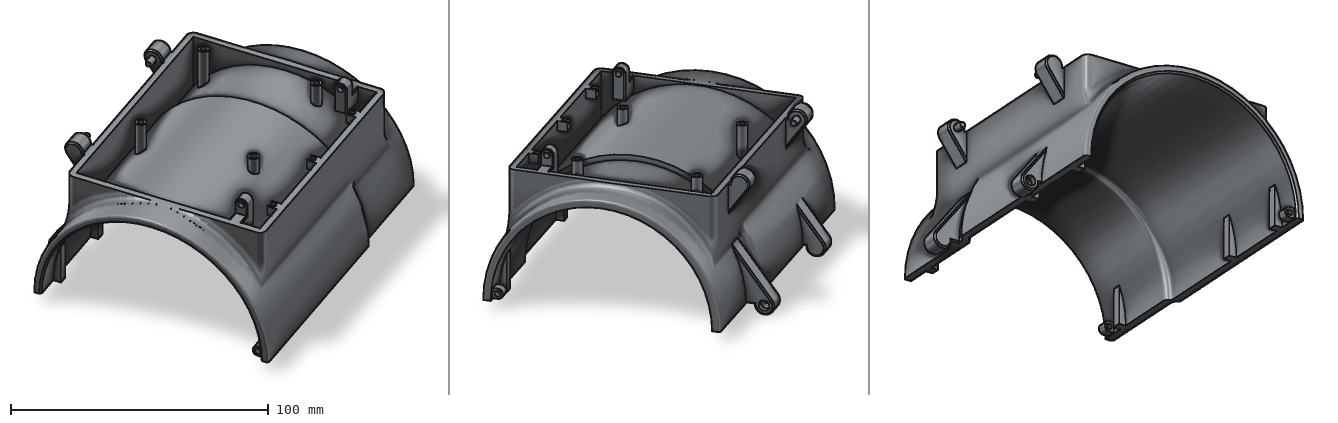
import cadquery as cq
import math

length = 130.0
front_radius = 51.2
rear_radius = 48.9
tube_wall = 3.4
step_y = 87.6
step_length = 3.9
rim_round = 1.0
bore_chamfer = 0.8

box_inner_x = 80.0
box_inner_y = 100.0
box_wall = 2.9
box_corner_radius = 2.9
box_bottom = 13.0
blank_top = 78.0
box_top = 51.4
box_blend = 3.9
crown_steps = 6
floor_drop = 0.3
floor_step_y = 88.3

mid_y = length / 2
inner_wall_x = box_inner_x / 2
outer_wall_x = inner_wall_x + box_wall
box_outer_y = box_inner_y + 2 * box_wall
front_wall_y = mid_y - box_outer_y / 2
inner_front_y = mid_y - box_inner_y / 2
inner_rear_y = mid_y + box_inner_y / 2

lug_radius = 4.0
lug_width = 8.0
lug_edge = 0.6
lug_root_depth = 6.5

rim_lug_x = -47.5
rim_lug_angle = 54.0
rim_lug_offset = 33.9
pin_diameter = 3.1
pin_tip_diameter = 2.3
pin_straight = 2.6
pin_length = 3.9

base_lug_x = -56.3
base_lug_angle = 52.3
base_lug_offset = 30.4
bearing_diameter = 4.4
bearing_end_diameter = 1.3

post_diameter = 4.4
post_hole_diameter = 2.5
post_hole_depth = 6.5
post_top = box_top + 3.0
post_xs = (-31.1, 18.1)
post_ys = (52.5, 106.2)

latch_x = 29.2
latch_width = 5.5
latch_reach = 10.3
latch_bottom = 44.5
latch_top = 58.5
latch_hole_diameter = 2.5
latch_edge = 0.5

clip_size = 4.0
clip_spacing = 33.8
clip_notch_width = 2.1
clip_notch_length = 2.6
clip_notch_depth = 1.3

rib_width = 3.9
front_rib_x = 44.5
rear_rib_x = 42.4
front_rib_ys = (12.4, 44.2)
rear_rib_ys = (117.6,)
boss_diameter = 4.4
boss_hole_diameter = 2.5
boss_z = 2.6
boss_length = 4.0
boss_end_gap = 2.0


def half_tube(front_r, rear_r):
    """Solid upper half of the stepped tube, with an S-shaped step between the two radii."""
    step_front = step_y - step_length / 2
    step_rear = step_y + step_length / 2
    mid_r = (front_r + rear_r) / 2
    return (
        cq.Workplane("XY")
        .lineTo(front_r, 0)
        .lineTo(front_r, step_front)
        .tangentArcPoint((mid_r, step_y), relative=False)
        .tangentArcPoint((rear_r, step_rear), relative=False)
        .lineTo(rear_r, length)
        .lineTo(0, length)
        .close()
        .revolve(180, (0, 0, 0), (0, -1, 0))
    )


def half_cylinder(radius, start_y, end_y):
    """Solid upper half of a cylinder along Y."""
    return (
        cq.Workplane("XZ", origin=(0, start_y, 0))
        .moveTo(radius, 0)
        .threePointArc((0, radius), (-radius, 0))
        .close()
        .extrude(start_y - end_y)
    )


def block(x_range, y_range, z_range):
    """Axis-aligned block between the given limits."""
    size = [end - start for start, end in (x_range, y_range, z_range)]
    corner = (x_range[0], y_range[0], z_range[0])
    return cq.Workplane("XY").box(*size, centered=False).translate(corner)


def y_cylinder(diameter, x, z, start_y, end_y):
    """Cylinder along Y between two places."""
    return (
        cq.Workplane("XZ", origin=(x, start_y, z))
        .circle(diameter / 2)
        .extrude(start_y - end_y)
    )


def tapered_pin(diameter, tip_diameter):
    """Pin growing from the origin along +Y: a straight part, then a cone."""
    return (
        cq.Workplane("XY")
        .lineTo(diameter / 2, 0)
        .lineTo(diameter / 2, pin_straight)
        .lineTo(tip_diameter / 2, pin_length)
        .lineTo(0, pin_length)
        .close()
        .revolve(360, (0, 0, 0), (0, 1, 0))
    )


def is_vertical(edge):
    """True for an edge parallel to Z."""
    return abs(edge.tangentAt(0.5).z) > 0.99


def on_box_wall(point):
    """True for a point on the outside of the box walls."""
    side_gap = abs(point.x) - outer_wall_x
    end_gap = abs(point.y - mid_y) - box_outer_y / 2
    return abs(max(side_gap, end_gap)) < 0.01


def is_seam(edge):
    """True for an edge where a box wall runs into the tube."""
    middle = edge.positionAt(0.5)
    in_height = box_bottom < middle.z < box_top
    return on_box_wall(middle) and in_height and not is_vertical(edge)


def is_box_corner(edge):
    """True for a vertical outer edge of the box."""
    middle = edge.positionAt(0.5)
    at_side = abs(abs(middle.x) - outer_wall_x) < 0.01
    return at_side and is_vertical(edge) and on_box_wall(middle) and middle.z > box_bottom


def radial_point(radius, angle, y):
    """Point at a distance from the tube axis, turned by an angle from the top."""
    return cq.Vector(radius * math.sin(angle), y, radius * math.cos(angle))


def crown_section(angle):
    """Radial section of the blend where the front wall is lower than the blend radius."""
    rim_radius = box_top / math.cos(angle)
    wall_height = rim_radius - front_radius
    reach = math.sqrt(box_blend ** 2 - (box_blend - wall_height) ** 2)
    foot_y = front_wall_y - reach
    half_turn = math.asin(reach / box_blend) / 2
    arc_middle = radial_point(
        front_radius + box_blend * (1 - math.cos(half_turn)),
        angle,
        foot_y + box_blend * math.sin(half_turn),
    )
    root_radius = front_radius - tube_wall / 2
    root_y = front_wall_y + box_wall / 2
    rim = radial_point(rim_radius, angle, front_wall_y)
    foot = radial_point(front_radius, angle, foot_y)
    outline = [
        foot,
        radial_point(root_radius, angle, foot_y),
        radial_point(root_radius, angle, root_y),
        radial_point(rim_radius, angle, root_y),
        rim,
    ]
    edges = [cq.Edge.makeLine(start, end) for start, end in zip(outline, outline[1:])]
    edges.append(cq.Edge.makeThreePointArc(rim, arc_middle, foot))
    return cq.Wire.assembleEdges(edges)


tube = half_tube(front_radius, rear_radius)
box = (
    cq.Workplane("XY", origin=(0, mid_y, box_bottom))
    .rect(2 * outer_wall_x, box_outer_y)
    .extrude(blank_top - box_bottom)
)
body = tube.union(box)
seams = [edge for edge in body.edges().vals() if is_seam(edge)]
body = body.newObject(seams).fillet(box_blend)
corners = [edge for edge in body.edges().vals() if is_box_corner(edge)]
body = body.newObject(corners).fillet(box_corner_radius)
body = body.cut(block((-front_radius, front_radius), (0, length), (box_top, blank_top)))
body = body.faces("<Y or >Y").edges("%CIRCLE").fillet(rim_round)

crown_angle = math.acos(box_top / (front_radius + box_blend))
wedge_x = blank_top * math.tan(crown_angle)
wedge = (
    cq.Workplane("XZ")
    .lineTo(wedge_x, blank_top)
    .lineTo(-wedge_x, blank_top)
    .close()
    .extrude(-front_wall_y)
)
body = body.cut(wedge.cut(half_cylinder(front_radius, 0, length)))
crown_sections = [
    crown_section(crown_angle * step / crown_steps) for step in range(-crown_steps, crown_steps + 1)
]
crown = cq.Workplane("XY").add(cq.Solid.makeLoft(crown_sections, True))
body = body.union(crown)

floor = half_cylinder(front_radius - floor_drop, 0, floor_step_y).union(
    half_cylinder(rear_radius - floor_drop, floor_step_y, length)
)
pocket = block(
    (-inner_wall_x, inner_wall_x), (inner_front_y, inner_rear_y), (box_bottom, blank_top)
)
body = body.cut(pocket).union(pocket.intersect(floor))


def lug(outline):
    """Lug centred on Y = 0 with bevelled side edges, from an outline in the XZ plane."""
    return outline.extrude(lug_width / 2, both=True).faces("<Y or >Y").edges().chamfer(lug_edge)


def rim_lug():
    """Lug on the -X wall at rim height, with a pin on its +Y side."""
    angle = math.radians(rim_lug_angle)
    root_x = -inner_wall_x - box_wall / 2
    touch_x = rim_lug_x - lug_radius * math.sin(angle)
    touch_z = box_top - lug_radius * math.cos(angle)
    root_z = touch_z - (root_x - touch_x) * math.tan(angle)
    shape = (
        cq.Workplane("XZ")
        .moveTo(root_x, root_z)
        .lineTo(touch_x, touch_z)
        .threePointArc((rim_lug_x, box_top + lug_radius), (rim_lug_x + lug_radius, box_top))
        .lineTo(root_x, box_top)
        .close()
    )
    pin = tapered_pin(pin_diameter, pin_tip_diameter)
    return lug(shape).union(pin.translate((rim_lug_x, lug_width / 2, box_top)))


def base_lug(root_x):
    """Lug at the foot of the -X side, with a blind bearing hole in its -Y side."""
    angle = math.radians(base_lug_angle)
    touch_x = base_lug_x - lug_radius * math.sin(angle)
    touch_z = lug_radius * math.cos(angle)
    root_z = touch_z + (root_x - touch_x) * math.tan(angle)
    shape = (
        cq.Workplane("XZ")
        .moveTo(root_x, root_z)
        .lineTo(touch_x, touch_z)
        .threePointArc((base_lug_x, -lug_radius), (base_lug_x + lug_radius, 0))
        .lineTo(root_x, 0)
        .close()
    )
    bearing = tapered_pin(bearing_diameter, bearing_end_diameter)
    return lug(shape).cut(bearing.translate((base_lug_x, -lug_width / 2, 0)))


def place_lugs(front_lug, rear_lug, offset):
    """Front lug and mirrored rear lug at equal distances from the middle of the length."""
    front = front_lug.translate((0, mid_y - offset, 0))
    return front.union(rear_lug.mirror("XZ").translate((0, mid_y + offset, 0)))


body = body.union(place_lugs(rim_lug(), rim_lug(), rim_lug_offset))
front_root_x = -front_radius + lug_root_depth
rear_root_x = -rear_radius + lug_root_depth
base_lugs = place_lugs(base_lug(front_root_x), base_lug(rear_root_x), base_lug_offset)
body = body.union(base_lugs)

bore = half_tube(front_radius - tube_wall, rear_radius - tube_wall)
body = body.cut(bore)
bore_radius = front_radius - tube_wall
bore_cone = cq.Solid.makeCone(
    bore_radius + bore_chamfer,
    bore_radius,
    bore_chamfer,
    cq.Vector(0, 0, 0),
    cq.Vector(0, 1, 0),
)
body = body.cut(cq.Workplane("XY").add(bore_cone))

post_places = [(x, y) for x in post_xs for y in post_ys]
posts = (
    cq.Workplane("XY", origin=(0, 0, box_bottom))
    .pushPoints(post_places)
    .circle(post_diameter / 2)
    .extrude(post_top - box_bottom)
    .cut(half_tube(front_radius - tube_wall / 2, rear_radius - tube_wall / 2))
)
body = body.union(posts)
body = body.cut(
    cq.Workplane("XY", origin=(0, 0, post_top))
    .pushPoints(post_places)
    .circle(post_hole_diameter / 2)
    .extrude(-post_hole_depth)
)


def latch():
    """Latch growing from the plane Y = 0 along +Y: an arm that ends in a tall eye."""
    half = latch_width / 2
    eye_z = latch_top - half
    eye = (
        cq.Workplane("XZ", origin=(latch_x, latch_reach, latch_bottom))
        .moveTo(-half, 0)
        .lineTo(-half, eye_z - latch_bottom)
        .threePointArc((0, latch_top - latch_bottom), (half, eye_z - latch_bottom))
        .lineTo(half, 0)
        .close()
        .extrude(latch_width)
        .faces("<Y or >Y")
        .edges()
        .chamfer(latch_edge)
    )
    arm = block(
        (latch_x - half, latch_x + half),
        (-box_wall / 2, latch_reach - latch_width / 2),
        (latch_bottom, box_top),
    )
    arm = arm.edges("|Y and >Z").chamfer(latch_edge)
    hole = y_cylinder(
        latch_hole_diameter, latch_x, eye_z, latch_reach - latch_width, latch_reach
    )
    return arm.union(eye).cut(hole)


body = body.union(latch().translate((0, inner_front_y, 0)))
body = body.union(latch().mirror("XZ").translate((0, inner_rear_y, 0)))

for step in (-1, 0, 1):
    clip_y = mid_y + step * clip_spacing
    clip_tip_x = inner_wall_x - clip_size
    clip = block(
        (clip_tip_x, outer_wall_x - box_wall / 2),
        (clip_y - clip_size / 2, clip_y + clip_size / 2),
        (box_top - clip_size, box_top),
    )
    notch = block(
        (clip_tip_x, clip_tip_x + clip_notch_length),
        (clip_y - clip_notch_width / 2, clip_y + clip_notch_width / 2),
        (box_top - clip_notch_depth, box_top),
    )
    body = body.union(clip.cut(notch))


def rib_pair(rib_x, rib_y, radius):
    """Rib on both sides of the bore, filling the space between a flat face and the wall."""
    slab = half_cylinder(radius - tube_wall / 2, rib_y - rib_width / 2, rib_y + rib_width / 2)
    return slab.cut(block((-rib_x, rib_x), (0, length), (0, front_radius)))


for rib_y in front_rib_ys:
    body = body.union(rib_pair(front_rib_x, rib_y, front_radius))
for rib_y in rear_rib_ys:
    body = body.union(rib_pair(rear_rib_x, rib_y, rear_radius))


def end_boss(radius, start_y):
    """Boss touching the bore, tied to the wall by a neck as high as the boss."""
    boss_x = radius - tube_wall - boss_diameter / 2
    end_y = start_y + boss_length
    neck = block(
        (boss_x, radius - tube_wall / 2),
        (start_y, end_y),
        (boss_z - boss_diameter / 2, boss_z + boss_diameter / 2),
    )
    boss = y_cylinder(boss_diameter, boss_x, boss_z, start_y, end_y).union(neck)
    return boss.cut(y_cylinder(boss_hole_diameter, boss_x, boss_z, start_y, end_y))


body = body.union(end_boss(front_radius, boss_end_gap))
body = body.union(end_boss(rear_radius, length - boss_end_gap - boss_length))

result = body